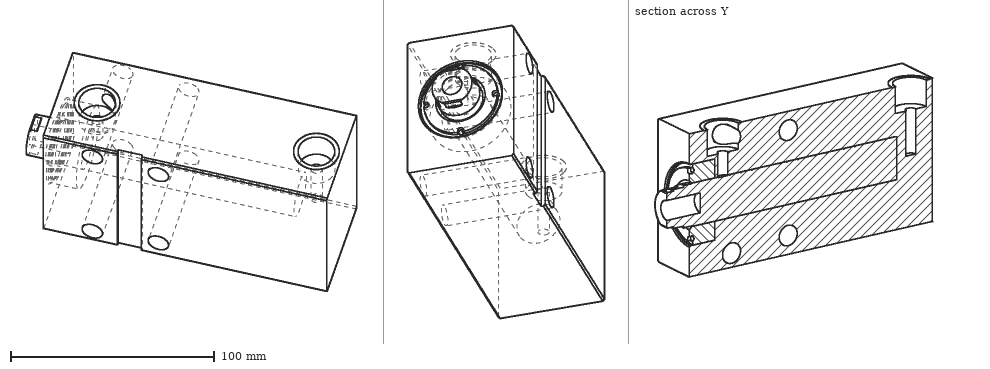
import cadquery as cq
import math


BLOCK_LENGTH = 145.0
BLOCK_WIDTH = 55.0
BLOCK_HEIGHT = 75.0
BLOCK_CHAMFER = 1.0

SLOT_START = 37.9
SLOT_WIDTH = 12.4
SLOT_DEPTH = 2.0

MOUNT_HOLE_DIAMETER = 10.5
MOUNT_HOLE_PAIRS = [(25.2, 59.9), (59.0, 55.0)]

PORT_POSITIONS = [20.0, 132.0]
SPOTFACE_DIAMETER = 22.5
SPOTFACE_DEPTH = 0.2
PORT_DIAMETER = 18.0
PORT_DEPTH = 14.0
OIL_HOLE_DIAMETER = 5.5

GLAND_DIAMETER = 42.2
GLAND_LENGTH = 15.0
GLAND_FACE_DIAMETER = 38.0
GLAND_STEP = 1.9
GLAND_MOUTH_DIAMETER = 25.5
POCKET_MOUTH_DIAMETER = 43.6
PIN_HOLE_DIAMETER = 3.0
PIN_HOLE_COUNT = 4
PIN_HOLE_CIRCLE_RADIUS = 17.9
PIN_HOLE_DEPTH = 1.9
DRILL_POINT_ANGLE = 118

ROD_DIAMETER = 22.3
ROD_INNER_LENGTH = 123.6
SHOULDER_OVERHANG = 3.3
TIP_DIAMETER = 20.6
TIP_OVERHANG = 13.5
TIP_FILLET = 0.5
FLAT_SPACING = 18.9
FLAT_LENGTH = 4.0
FLAT_CHAMFER = 0.6
TIP_HOLE_DIAMETER = 10.1
TIP_HOLE_DEPTH = 20.0


def cylinder_x(diameter, start, length):
    """Cylinder on the rod axis, from X = start towards +X."""
    return cq.Workplane("YZ", origin=(start, 0, 0)).circle(diameter / 2).extrude(length)


def mouth_chamfer(mouth_diameter, bore_diameter):
    """45 degree cone that opens a bore at the front face."""
    mouth_radius = mouth_diameter / 2
    bore_radius = bore_diameter / 2
    depth = mouth_radius - bore_radius
    profile = [(0, 0), (0, mouth_radius), (depth, bore_radius), (depth, 0)]
    return cq.Workplane("XY").polyline(profile).close().revolve(360, (0, 0, 0), (1, 0, 0))


def cut_mounting_holes(body):
    """Drill the four mounting holes through the block along Y."""
    for x, spacing in MOUNT_HOLE_PAIRS:
        for z in (-spacing / 2, spacing / 2):
            drill = (
                cq.Workplane("XZ", origin=(x, 0, z))
                .circle(MOUNT_HOLE_DIAMETER / 2)
                .extrude(BLOCK_WIDTH / 2, both=True)
            )
            body = body.cut(drill)
    return body


def cut_port(body, x):
    """Cut one oil port: a spotface, the port bore and an oil hole down to the rod axis."""
    steps = [
        (SPOTFACE_DIAMETER, SPOTFACE_DEPTH),
        (PORT_DIAMETER, PORT_DEPTH),
        (OIL_HOLE_DIAMETER, BLOCK_HEIGHT / 2),
    ]
    for diameter, depth in steps:
        drill = cq.Workplane("XY", origin=(x, 0, BLOCK_HEIGHT / 2)).circle(diameter / 2).extrude(-depth)
        body = body.cut(drill)
    return body


def make_housing():
    """Block with the slot, mounting holes, ports, gland pocket and rod bore."""
    body = cq.Workplane("XY").box(BLOCK_LENGTH, BLOCK_WIDTH, BLOCK_HEIGHT, centered=(False, True, True))
    body = body.edges("|X").chamfer(BLOCK_CHAMFER)
    slot = (
        cq.Workplane("XY")
        .box(SLOT_WIDTH, SLOT_DEPTH, BLOCK_HEIGHT, centered=(False, False, True))
        .translate((SLOT_START, -BLOCK_WIDTH / 2, 0))
    )
    body = cut_mounting_holes(body.cut(slot))
    for x in PORT_POSITIONS:
        body = cut_port(body, x)
    body = body.cut(cylinder_x(GLAND_DIAMETER, 0, GLAND_LENGTH))
    body = body.cut(mouth_chamfer(POCKET_MOUTH_DIAMETER, GLAND_DIAMETER))
    return body.cut(cylinder_x(ROD_DIAMETER, 0, ROD_INNER_LENGTH))


def pin_hole(angle):
    """Blind spanner hole with a drill point, on the pin circle at the given angle."""
    radius = PIN_HOLE_DIAMETER / 2
    point_depth = radius / math.tan(math.radians(DRILL_POINT_ANGLE / 2))
    profile = [(0, 0), (0, radius), (PIN_HOLE_DEPTH, radius), (PIN_HOLE_DEPTH + point_depth, 0)]
    drill = cq.Workplane("XY").polyline(profile).close().revolve(360, (0, 0, 0), (1, 0, 0))
    return drill.translate((0, PIN_HOLE_CIRCLE_RADIUS, 0)).rotate((0, 0, 0), (1, 0, 0), angle)


def make_gland():
    """Ring flush with the housing front, with a stepped rim and four spanner holes."""
    body = cylinder_x(GLAND_DIAMETER, GLAND_STEP, GLAND_LENGTH - GLAND_STEP)
    body = body.union(cylinder_x(GLAND_FACE_DIAMETER, 0, GLAND_STEP))
    body = body.cut(cylinder_x(ROD_DIAMETER, 0, GLAND_LENGTH))
    body = body.cut(mouth_chamfer(GLAND_MOUTH_DIAMETER, ROD_DIAMETER))
    for index in range(PIN_HOLE_COUNT):
        body = body.cut(pin_hole(index * 360 / PIN_HOLE_COUNT))
    return body


def tip_flat_cutter():
    """Material above the upper wrench flat, including the bevel at its front edge."""
    flat_height = FLAT_SPACING / 2
    tip_radius = TIP_DIAMETER / 2
    profile = [
        (-TIP_OVERHANG, flat_height - FLAT_CHAMFER),
        (-TIP_OVERHANG + FLAT_CHAMFER, flat_height),
        (-TIP_OVERHANG + FLAT_LENGTH, flat_height),
        (-TIP_OVERHANG + FLAT_LENGTH, tip_radius),
        (-TIP_OVERHANG, tip_radius),
    ]
    return cq.Workplane("XZ").polyline(profile).close().extrude(tip_radius, both=True)


def make_rod():
    """Rod with a filleted shoulder, a reduced tip, two wrench flats and a blind tip hole."""
    rod_radius = ROD_DIAMETER / 2
    tip_radius = TIP_DIAMETER / 2
    body = (
        cq.Workplane("XY")
        .moveTo(-TIP_OVERHANG, 0)
        .lineTo(-TIP_OVERHANG, tip_radius)
        .lineTo(-SHOULDER_OVERHANG - TIP_FILLET, tip_radius)
        .radiusArc((-SHOULDER_OVERHANG, tip_radius + TIP_FILLET), -TIP_FILLET)
        .lineTo(-SHOULDER_OVERHANG, rod_radius)
        .lineTo(ROD_INNER_LENGTH, rod_radius)
        .lineTo(ROD_INNER_LENGTH, 0)
        .close()
        .revolve(360, (0, 0, 0), (1, 0, 0))
    )
    upper_flat = tip_flat_cutter()
    body = body.cut(upper_flat).cut(upper_flat.mirror("XY"))
    return body.cut(cylinder_x(TIP_HOLE_DIAMETER, -TIP_OVERHANG, TIP_HOLE_DEPTH))


housing = make_housing()
gland = make_gland()
rod = make_rod()

result = cq.Compound.makeCompound([housing.val(), gland.val(), rod.val()])